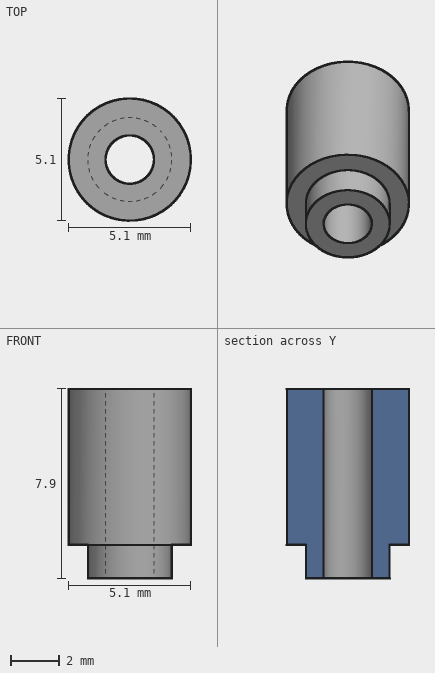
import cadquery as cq

total_height = 7.9
spigot_height = 1.4
body_diameter = 5.1
spigot_diameter = 3.5
bore_diameter = 2.01

body_height = total_height - spigot_height

spigot = cq.Workplane("XY").circle(spigot_diameter / 2).extrude(spigot_height)
body = (
    cq.Workplane("XY")
    .workplane(offset=spigot_height)
    .circle(body_diameter / 2)
    .extrude(body_height)
)

bore = cq.Workplane("XY").circle(bore_diameter / 2).extrude(total_height)

result = spigot.union(body).cut(bore)